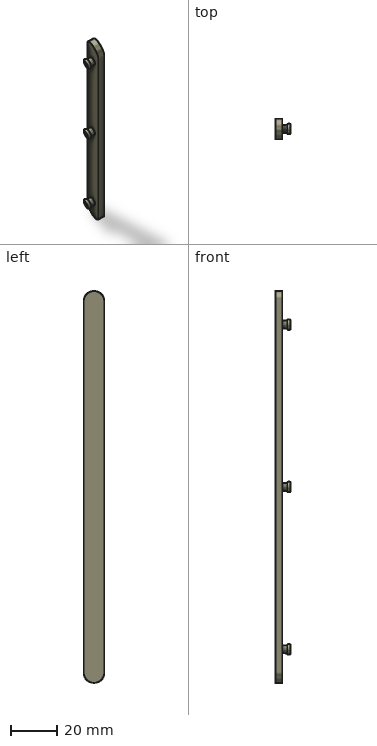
import cadquery as cq

bar_length = 169.0
bar_width = 9.0
bar_thickness = 3.0

overall_depth = 6.6
neck_diameter = 3.5
neck_straight_length = 0.5
head_diameter = 4.7
head_thickness = 1.5
rim_bulge = 0.5
pin_spacing = 70.0


def make_bar():
    """Bar with its back face on the YZ plane, centred on the X axis."""
    return cq.Workplane("YZ").slot2D(bar_length, bar_width, 90).extrude(bar_thickness)


def make_pin(height):
    """Pin along +X: a straight neck flares slightly into a wider head with an arc-shaped rim."""
    tip = overall_depth
    head_start = tip - head_thickness
    neck_radius = neck_diameter / 2
    rim_base_radius = head_diameter / 2 - rim_bulge
    profile = (
        cq.Workplane("XY")
        .moveTo(bar_thickness, 0)
        .lineTo(bar_thickness, neck_radius)
        .lineTo(bar_thickness + neck_straight_length, neck_radius)
        .lineTo(head_start, rim_base_radius)
        .threePointArc((tip - head_thickness / 2, head_diameter / 2), (tip, rim_base_radius))
        .lineTo(tip, 0)
        .close()
    )
    pin = profile.revolve(360, (0, 0, 0), (1, 0, 0))
    return pin.translate((0, 0, height))


result = make_bar()
for pin_height in (-pin_spacing, 0, pin_spacing):
    result = result.union(make_pin(pin_height))